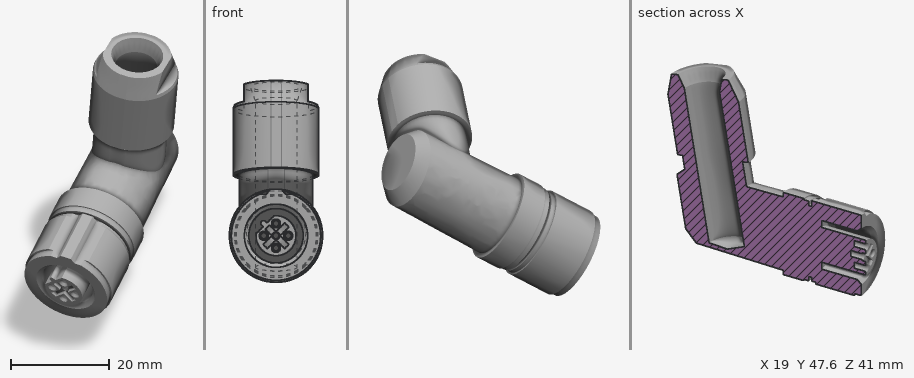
import cadquery as cq
import math

TILT = 10.0
tilt_sin = math.sin(math.radians(TILT))
tilt_cos = math.cos(math.radians(TILT))

nut_radius = 9.5
nut_band_radius = 9.05
nut_front_band = 1.55
nut_rear_band = 0.95
nut_length = 11.95
nut_flat_height = 8.45
rib_top_half = 1.1
rib_base_half = 1.95

mouth_radius = 6.45
mouth_chamfer = 0.95
recess_radius = 5.55
recess_depth = 9.55

groove_radius = 8.2
groove_width = 0.6
collar_step_radius = 9.2
collar_step_width = 1.25
collar_width = 5.05

insert_radius = 4.05
insert_projection = 1.15
insert_flat = 3.15
key_centre = 3.57
key_radius = 0.55
contact_offset = 2.5
contact_radius = 0.6
contact_depth = 2.85
contact_mouth_radius = 0.9
centre_mouth_radius = 0.75
contact_mouth_depth = 0.4
cross_width = 1.2
cross_long_arm = 3.1
cross_short_arm = 2.5
cross_depth = 0.85

body_front_radius = 8.5
body_rear_radius = 8.1
body_rear_y = 41.1
body_end_radius = 6.0
body_end_rise = 0.85
body_end_length = 2.1

outlet_y = 33.45
neck_radius = 7.5
neck_flat_depth = 0.2
head_bottom = 12.6
head_shoulder = 26.05
head_top = 30.8
head_radius = 8.7
head_top_radius = 7.0
head_flat_depth = 0.07
wrench_half_width = 6.55
wrench_ledge = 0.65
wrench_floor = head_shoulder + wrench_ledge
bore_radius = 4.25
bore_mouth_radius = 5.3
bore_mouth_depth = 2.95
bore_floor = -6.45
bore_tip_depth = 0.95

groove_end = nut_length + groove_width
collar_step_end = groove_end + collar_step_width
collar_end = collar_step_end + collar_width


def facing_front(y):
    """Plane at the given Y, seen from the front: local x is X, local y is Z."""
    return cq.Workplane("XZ", origin=(0, y, 0))


def rod(radius, start, end):
    """Cylinder on the plug axis between two Y stations."""
    return facing_front(end).circle(radius).extrude(end - start)


def turned(plane, half_profile):
    """Solid of revolution about the local y axis of the plane."""
    return cq.Workplane(plane).polyline(half_profile).close().revolve(360, (0, 0), (0, 1))


def leaning_plane():
    """Plane whose normal runs up the outlet axis; local y points to the back."""
    return cq.Plane(origin=(0, outlet_y, 0), xDir=(1, 0, 0), normal=(0, tilt_sin, tilt_cos))


def outlet_section():
    """Plane through the outlet axis: local x to the back, local y up the axis."""
    return cq.Plane(
        origin=(0, outlet_y, 0), xDir=(0, tilt_cos, -tilt_sin), normal=(1, 0, 0)
    )


def make_nut():
    main_end = nut_length - nut_rear_band
    rim = rod(nut_band_radius, 0, nut_length).union(rod(nut_radius, nut_front_band, main_end))
    above_flat = facing_front(nut_length).rect(2 * nut_radius, 2 * nut_radius).extrude(nut_length)
    above_flat = above_flat.translate((0, 0, nut_flat_height + nut_radius))
    rib_profile = [
        (-rib_base_half, 0),
        (-rib_base_half, nut_flat_height),
        (-rib_top_half, nut_radius),
        (rib_top_half, nut_radius),
        (rib_base_half, nut_flat_height),
        (rib_base_half, 0),
    ]
    rib = facing_front(nut_length).polyline(rib_profile).close().extrude(nut_length)
    return rim.cut(above_flat).union(rib)


def make_recess():
    half_profile = [
        (0, 0),
        (mouth_radius, 0),
        (recess_radius, mouth_chamfer),
        (recess_radius, recess_depth),
        (0, recess_depth),
    ]
    return turned("XY", half_profile)


def make_contact(mouth):
    """Countersunk contact hole on the plug axis, opening at Y = 0."""
    half_profile = [
        (0, 0),
        (mouth, 0),
        (contact_radius, contact_mouth_depth),
        (contact_radius, contact_depth),
        (0, contact_depth),
    ]
    return turned("XY", half_profile)


def make_insert():
    front = -insert_projection
    length = recess_depth + insert_projection
    insert = rod(insert_radius, front, recess_depth)

    above_flat = facing_front(recess_depth).rect(2 * insert_radius, 2 * insert_radius).extrude(length)
    insert = insert.cut(above_flat.translate((0, 0, insert_flat + insert_radius)))
    key = facing_front(recess_depth).center(0, key_centre).circle(key_radius).extrude(length)
    key_root = facing_front(recess_depth).center(0, key_centre / 2).rect(2 * key_radius, key_centre)
    insert = insert.union(key).union(key_root.extrude(length))

    cross_floor = facing_front(front + cross_depth)
    wide_bar = cross_floor.rect(2 * cross_long_arm, cross_width).extrude(cross_depth)
    tall_bar = (
        cross_floor.center(0, (cross_short_arm - cross_long_arm) / 2)
        .rect(cross_width, cross_short_arm + cross_long_arm)
        .extrude(cross_depth)
    )
    insert = insert.cut(wide_bar).cut(tall_bar)
    insert = insert.rotate((0, 0, 0), (0, 1, 0), -45)

    insert = insert.cut(make_contact(centre_mouth_radius).translate((0, front + cross_depth, 0)))
    for x, z in [(1, 0), (-1, 0), (0, 1), (0, -1)]:
        place = (x * contact_offset, front, z * contact_offset)
        insert = insert.cut(make_contact(contact_mouth_radius).translate(place))
    return insert


def make_collar():
    collar = rod(groove_radius, nut_length, groove_end)
    collar = collar.union(rod(collar_step_radius, groove_end, collar_step_end))
    return collar.union(rod(nut_radius, collar_step_end, collar_end))


def make_body():
    """Tapered tube from the collar to a slanted rear edge, then a bevelled end."""
    upright = cq.Plane(origin=(0, collar_end, 0), xDir=(0, 0, -1), normal=(0, -1, 0))
    slant = cq.Plane(
        origin=(0, body_rear_y, 0),
        xDir=(0, -tilt_sin, -tilt_cos),
        normal=(0, -tilt_cos, tilt_sin),
    )
    front_wire = cq.Workplane(upright).circle(body_front_radius).wire().val()
    rear_wire = cq.Workplane(slant).ellipse(body_rear_radius / tilt_cos, body_rear_radius).wire().val()
    end_wire = (
        cq.Workplane(slant)
        .workplane(offset=-body_end_length)
        .center(-body_end_rise, 0)
        .circle(body_end_radius)
        .wire()
        .val()
    )
    return cq.Workplane(cq.Solid.makeLoft([front_wire, rear_wire, end_wire], True))


def make_outlet():
    neck = cq.Workplane(leaning_plane()).circle(neck_radius).extrude(head_bottom)
    flat_cut = (
        cq.Workplane(leaning_plane())
        .center(0, -2 * neck_radius + neck_flat_depth)
        .rect(2 * neck_radius, 2 * neck_radius)
        .extrude(head_bottom)
    )
    neck = neck.cut(flat_cut)

    half_profile = [
        (0, head_bottom),
        (head_radius, head_bottom),
        (head_radius, head_shoulder),
        (head_top_radius, head_top),
        (0, head_top),
    ]
    head = turned(outlet_section(), half_profile)

    flat_radius = head_radius - head_flat_depth
    flat_top_radius = head_top_radius - head_flat_depth
    flats_profile = [
        (-flat_radius, head_bottom),
        (flat_radius, head_bottom),
        (flat_radius, head_shoulder),
        (flat_top_radius, head_top),
        (-flat_top_radius, head_top),
        (-flat_radius, head_shoulder),
    ]
    between_flats = (
        cq.Workplane(outlet_section())
        .polyline(flats_profile)
        .close()
        .extrude(head_radius, both=True)
    )
    head = head.intersect(between_flats)

    for side in (-1, 1):
        wrench_cut = (
            cq.Workplane(leaning_plane())
            .workplane(offset=wrench_floor)
            .center(side * (wrench_half_width + head_radius), 0)
            .rect(2 * head_radius, 2 * head_radius)
            .extrude(head_top - wrench_floor)
        )
        head = head.cut(wrench_cut)
    return neck.union(head)


def make_bore():
    half_profile = [
        (0, bore_floor - bore_tip_depth),
        (bore_radius, bore_floor),
        (bore_radius, head_top - bore_mouth_depth),
        (bore_mouth_radius, head_top),
        (0, head_top),
    ]
    return turned(outlet_section(), half_profile)


plug = make_nut().cut(make_recess()).union(make_insert()).union(make_collar())
shell = make_body().union(make_outlet()).cut(make_bore())
result = plug.union(shell)